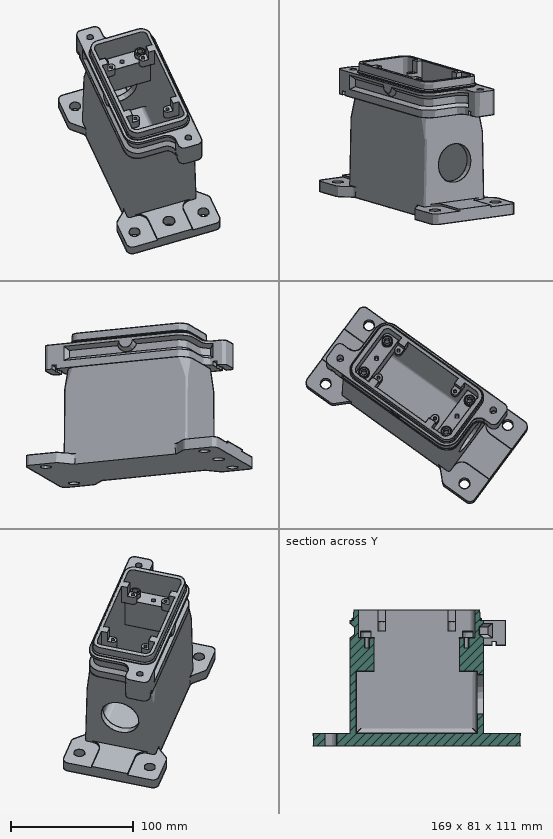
import cadquery as cq
import math

FLANGE_LENGTH = 169.0
FLANGE_WIDTH = 81.0
FLANGE_THICKNESS = 8.8
FLANGE_WAIST_WIDTH = 59.5
FLANGE_EAR_X = 56.0
FLANGE_CORNER_RADIUS = 5.0
FLANGE_WAIST_RADIUS = 6.8
PAD_HEIGHT = 1.5
PAD_WIDTH = 30.8
PAD_BLEND_RADIUS = 8.1
SCREW_X = 70.0
SCREW_Y = 29.9
SCREW_DIAMETER = 8.8
EARTH_HOLE_DIAMETER = 9.5

BODY_HALF_X = 54.6
BODY_HALF_Y_BOTTOM = 30.0
BODY_HALF_Y_TOP = 28.2
BODY_EDGE_RADIUS = 2.2
BODY_TOP_RADIUS = 10.0
CORNER_CONE_START_Z = 64.7
ENTRY_Z = 42.0
ENTRY_DIAMETER = 32.0

COLLAR_BOTTOM = 82.0
COLLAR_TOP = 102.4
COLLAR_HALF_X = 54.5
COLLAR_HALF_Y = 29.0
COLLAR_RADIUS = 12.2
LUG_END_X = 72.3
LUG_SIDE_Y = 9.0
LUG_RADIUS = 4.7
LUG_BLEND_RADIUS = 7.5
LUG_HOLE_X = 63.0
LUG_HOLE_Y = 19.5
LUG_HOLE_DIAMETER = 5.2
LUG_SLOT_WIDTH = 3.4
LUG_SLOT_HEIGHT = 3.2

GROOVE_DEPTH = 3.4
GROOVE_BOTTOM = 88.2
GROOVE_FLOOR_BOTTOM = 90.8
GROOVE_FLOOR_TOP = 97.0
GROOVE_TOP = 100.0
GROOVE_END_RUN = 4.0
GROOVE_START_X = 54.2
GROOVE_END_X = 61.5
STOP_RADIUS = 5.9
STOP_BASE_RADIUS = 8.8

RIM_TOP = 111.0
RIM_HALF_X = 51.5
RIM_HALF_Y = 26.0
RIM_RADIUS = 8.6
RIM_BEVEL_HEIGHT = 2.0
RIM_BEVEL = 0.5
BEAD_PROJECTION = 1.0
BEAD_BOTTOM = 103.3
BEAD_EDGE = 104.0
BEAD_TOP = 105.0

CAVITY_HALF_X = 47.3
CAVITY_HALF_Y = 22.6
LOWER_CAVITY_HALF_X = 49.2
CAVITY_RADIUS = 4.4
CAVITY_FLOOR = 10.5
CAVITY_FLOOR_FILLET = 4.7
WALL_OVERLAP = 1.7
LEDGE_INNER_X = 34.8
LEDGE_TOP = 88.4
LEDGE_BOTTOM = 60.8
LEDGE_HOLE_X = 40.5
LEDGE_HOLE_DIAMETER = 3.5
LEDGE_HOLE_DEPTH = 8.5
BOSS_X = 41.5
BOSS_Y = 16.0
BOSS_TOP = 93.8
BOSS_DIAMETER = 8.8
BOSS_CHAMFER = 0.8
BOSS_HOLE_DIAMETER = 4.5
BOSS_HOLE_DEPTH = 8.5
RIB_X = 28.5
RIB_WIDTH = 6.5
RIB_FACE_Y = 17.5
RIB_BOTTOM = 93.6
POST_Y = 13.9
POST_TOP = 101.4
POST_HOLE_DIAMETER = 2.5
POST_HOLE_DEPTH = 5.0

SIGNS = (-1, 1)
QUADRANTS = [(sx, sy) for sx in SIGNS for sy in SIGNS]


def half_turn(shape):
    """Copy of a shape turned 180 degrees about the vertical axis."""
    return shape.rotate((0, 0, 0), (0, 0, 1), 180)


def box(x, y, z):
    """Box from (min, max) pairs along each axis."""
    size = [b - a for a, b in (x, y, z)]
    return cq.Workplane("XY").box(*size, centered=False).translate((x[0], y[0], z[0]))


def cylinder(x, y, bottom, top, diameter):
    circle = cq.Workplane("XY").workplane(offset=bottom).center(x, y).circle(diameter / 2)
    return circle.extrude(top - bottom)


def rounded_rectangle(half_x, half_y, radius, z):
    wire = cq.Workplane("XY").workplane(offset=z).rect(2 * half_x, 2 * half_y).wire().val()
    return wire.fillet2D(radius, wire.Vertices())


def loft(lower, upper):
    return cq.Workplane(cq.Solid.makeLoft([lower, upper], True))


def prism(wire, height):
    return cq.Workplane(cq.Solid.extrudeLinear(wire, [], cq.Vector(0, 0, height)))


def round_upright_edge(plate, x, y, radius):
    """Fillet the vertical edge of a flange plate that passes through (x, y)."""
    edge = cq.selectors.NearestToPointSelector((x, y, FLANGE_THICKNESS / 2))
    return plate.edges("|Z").edges(edge).fillet(radius)


def flange():
    half_x = FLANGE_LENGTH / 2
    half_y = FLANGE_WIDTH / 2
    half_waist = FLANGE_WAIST_WIDTH / 2
    waist_x = FLANGE_EAR_X - (half_y - half_waist)
    ear_corners = [(FLANGE_EAR_X, half_y), (half_x, half_y)]
    outline = [(waist_x, half_waist)] + ear_corners
    outline += [(x, -y) for x, y in reversed(outline)]
    outline += [(-x, -y) for x, y in outline]
    plate = cq.Workplane("XY").polyline(outline).close().extrude(FLANGE_THICKNESS)
    for sx, sy in QUADRANTS:
        for x, y in ear_corners:
            plate = round_upright_edge(plate, sx * x, sy * y, FLANGE_CORNER_RADIUS)
        plate = round_upright_edge(plate, sx * waist_x, sy * half_waist, FLANGE_WAIST_RADIUS)
    return plate


def raised_pad():
    """Strip along X across the flange, flared next to the body."""
    half_width = PAD_WIDTH / 2
    z = (FLANGE_THICKNESS, FLANGE_THICKNESS + PAD_HEIGHT)
    half_x = FLANGE_LENGTH / 2
    strip = box((-half_x, half_x), (-half_width, half_width), z)
    flare_x = BODY_HALF_X + PAD_BLEND_RADIUS
    flare_y = half_width + PAD_BLEND_RADIUS
    pad = strip.union(box((-flare_x, flare_x), (-flare_y, flare_y), z))
    for sx, sy in QUADRANTS:
        pad = pad.cut(cylinder(sx * flare_x, sy * flare_y, *z, 2 * PAD_BLEND_RADIUS))
    return pad


def flange_holes():
    top = FLANGE_THICKNESS + PAD_HEIGHT
    holes = cylinder(SCREW_X, 0, 0, top, EARTH_HOLE_DIAMETER)
    for sx, sy in QUADRANTS:
        holes = holes.union(cylinder(sx * SCREW_X, sy * SCREW_Y, 0, top, SCREW_DIAMETER))
    return holes


def body():
    def half_y(z):
        return BODY_HALF_Y_BOTTOM - (BODY_HALF_Y_BOTTOM - BODY_HALF_Y_TOP) * z / COLLAR_BOTTOM

    def section(z, radius):
        return rounded_rectangle(BODY_HALF_X, half_y(z), radius, z)

    waist = section(CORNER_CONE_START_Z, BODY_EDGE_RADIUS)
    lower = loft(section(0, BODY_EDGE_RADIUS), waist)
    upper = loft(waist, section(COLLAR_BOTTOM, BODY_TOP_RADIUS))
    return lower.union(upper)


def collar_outline(inset, z):
    """Z-shaped outline of collar and lugs, moved inwards by inset."""
    side_x = COLLAR_HALF_X - inset
    side_y = COLLAR_HALF_Y - inset
    lug_x = LUG_END_X - inset
    lug_y = LUG_SIDE_Y + inset
    lug_r = LUG_RADIUS - inset
    blend_r = LUG_BLEND_RADIUS + inset
    corner_r = COLLAR_RADIUS - inset
    bulge = 1 - math.sqrt(0.5)

    def half(pen, s):
        """One half of the outline; s = 1 draws the +X side, s = -1 the -X side."""
        def at(x, y):
            return (s * x, s * y)

        pen = pen.lineTo(*at(side_x - corner_r, -side_y))
        pen = pen.threePointArc(
            at(side_x - corner_r * bulge, -side_y + corner_r * bulge), at(side_x, -side_y + corner_r)
        )
        pen = pen.lineTo(*at(side_x, lug_y - blend_r))
        pen = pen.threePointArc(
            at(side_x + blend_r * bulge, lug_y - blend_r * bulge), at(side_x + blend_r, lug_y)
        )
        pen = pen.lineTo(*at(lug_x - lug_r, lug_y))
        pen = pen.threePointArc(
            at(lug_x - lug_r * bulge, lug_y + lug_r * bulge), at(lug_x, lug_y + lug_r)
        )
        pen = pen.lineTo(*at(lug_x, side_y - lug_r))
        return pen.threePointArc(
            at(lug_x - lug_r * bulge, side_y - lug_r * bulge), at(lug_x - lug_r, side_y)
        )

    pen = cq.Workplane("XY").workplane(offset=z).moveTo(-lug_x + lug_r, -side_y)
    return half(half(pen, 1), -1).wire().val()


def latch_groove():
    """Groove on the long -Y side and the short +X side, with sloping flanks."""
    floor_height = GROOVE_FLOOR_TOP - GROOVE_FLOOR_BOTTOM
    core = prism(collar_outline(GROOVE_DEPTH, GROOVE_FLOOR_BOTTOM), floor_height)
    lower_flank = loft(
        collar_outline(0, GROOVE_BOTTOM), collar_outline(GROOVE_DEPTH, GROOVE_FLOOR_BOTTOM)
    )
    upper_flank = loft(
        collar_outline(GROOVE_DEPTH, GROOVE_FLOOR_TOP), collar_outline(0, GROOVE_TOP)
    )

    margin = 1.7
    reach = GROOVE_DEPTH + margin
    end_slope = GROOVE_END_RUN / GROOVE_DEPTH
    plan = [
        (-GROOVE_START_X - margin, -COLLAR_HALF_Y - margin),
        (GROOVE_END_X + end_slope * margin, -COLLAR_HALF_Y - margin),
        (GROOVE_END_X + end_slope * margin, LUG_SIDE_Y - margin),
        (GROOVE_END_X - end_slope * reach, LUG_SIDE_Y + reach),
        (-GROOVE_START_X + reach, -COLLAR_HALF_Y + reach),
    ]
    band = cq.Workplane("XY").workplane(offset=GROOVE_BOTTOM).polyline(plan).close()
    band = band.extrude(GROOVE_TOP - GROOVE_BOTTOM)

    stop = cq.Workplane(
        cq.Solid.makeCone(
            STOP_RADIUS, STOP_BASE_RADIUS, GROOVE_DEPTH,
            cq.Vector(0, -COLLAR_HALF_Y, GROOVE_TOP), cq.Vector(0, 1, 0),
        )
    )
    return band.cut(core).cut(lower_flank).cut(upper_flank).cut(stop)


def collar():
    block = prism(collar_outline(0, COLLAR_BOTTOM), COLLAR_TOP - COLLAR_BOTTOM)
    groove = latch_groove()
    hole = cylinder(LUG_HOLE_X, LUG_HOLE_Y, COLLAR_BOTTOM, COLLAR_TOP, LUG_HOLE_DIAMETER)
    slot = box(
        (LUG_HOLE_X - LUG_SLOT_WIDTH / 2, LUG_HOLE_X + LUG_SLOT_WIDTH / 2),
        (0, COLLAR_HALF_Y),
        (COLLAR_BOTTOM, COLLAR_BOTTOM + LUG_SLOT_HEIGHT),
    )
    for cutter in (groove, hole, slot):
        block = block.cut(cutter).cut(half_turn(cutter))
    return block


def rim():
    def section(z, growth):
        return rounded_rectangle(RIM_HALF_X + growth, RIM_HALF_Y + growth, RIM_RADIUS + growth, z)

    bevel_z = RIM_TOP - RIM_BEVEL_HEIGHT
    wall = prism(section(COLLAR_TOP, 0), bevel_z - COLLAR_TOP)
    bevel = loft(section(bevel_z, 0), section(RIM_TOP, -RIM_BEVEL))
    bead = prism(section(BEAD_BOTTOM, BEAD_PROJECTION), BEAD_EDGE - BEAD_BOTTOM)
    bead_slope = loft(section(BEAD_EDGE, BEAD_PROJECTION), section(BEAD_TOP, 0))
    return wall.union(bevel).union(bead).union(bead_slope)


def cavity():
    upper = prism(
        rounded_rectangle(CAVITY_HALF_X, CAVITY_HALF_Y, CAVITY_RADIUS, LEDGE_BOTTOM), RIM_TOP - LEDGE_BOTTOM
    )
    lower = box(
        (-LOWER_CAVITY_HALF_X, LOWER_CAVITY_HALF_X),
        (-CAVITY_HALF_Y, CAVITY_HALF_Y),
        (CAVITY_FLOOR, LEDGE_BOTTOM),
    )
    trough = lower.edges("<Z and |X").fillet(CAVITY_FLOOR_FILLET)
    lower = lower.edges("|Z").fillet(CAVITY_RADIUS)
    return upper.union(lower.intersect(trough))


def cable_entry():
    entry = cq.Workplane("YZ").workplane(offset=-BODY_HALF_X).center(0, ENTRY_Z)
    return entry.circle(ENTRY_DIAMETER / 2).extrude(BODY_HALF_X - LOWER_CAVITY_HALF_X)


def ledge(side):
    """Shelf across one end of the cavity, carrying two screw bosses."""
    x_range = sorted((side * LEDGE_INNER_X, side * (CAVITY_HALF_X + WALL_OVERLAP)))
    wall_y = CAVITY_HALF_Y + WALL_OVERLAP
    shelf = box(x_range, (-wall_y, wall_y), (LEDGE_BOTTOM, LEDGE_TOP))
    shelf = shelf.cut(
        cylinder(side * LEDGE_HOLE_X, 0, LEDGE_TOP - LEDGE_HOLE_DEPTH, LEDGE_TOP, LEDGE_HOLE_DIAMETER)
    )
    hole_floor = BOSS_TOP - BOSS_HOLE_DEPTH
    hole_radius = BOSS_HOLE_DIAMETER / 2
    for sy in SIGNS:
        x, y = side * BOSS_X, sy * BOSS_Y
        boss = cylinder(x, y, LEDGE_TOP, BOSS_TOP, BOSS_DIAMETER).faces(">Z").edges().chamfer(BOSS_CHAMFER)
        tip = cq.Solid.makeCone(
            hole_radius, 0, hole_radius, cq.Vector(x, y, hole_floor), cq.Vector(0, 0, -1)
        )
        hole = cylinder(x, y, hole_floor, BOSS_TOP, BOSS_HOLE_DIAMETER)
        shelf = shelf.union(boss).cut(hole).cut(cq.Workplane(tip))
    return shelf


def rib_with_post(sx, sy):
    """Wall rib up to the rim, with a lower round-nosed screw post in front of it."""
    x = sx * RIB_X
    x_range = (x - RIB_WIDTH / 2, x + RIB_WIDTH / 2)
    wall_y = CAVITY_HALF_Y + WALL_OVERLAP
    rib = box(x_range, sorted((sy * RIB_FACE_Y, sy * wall_y)), (RIB_BOTTOM, RIM_TOP))
    post = box(x_range, sorted((sy * POST_Y, sy * wall_y)), (RIB_BOTTOM, POST_TOP))
    post = post.union(cylinder(x, sy * POST_Y, RIB_BOTTOM, POST_TOP, RIB_WIDTH))
    hole = cylinder(x, sy * POST_Y, POST_TOP - POST_HOLE_DEPTH, POST_TOP, POST_HOLE_DIAMETER)
    return rib.union(post).cut(hole)


result = flange().union(raised_pad()).cut(flange_holes())
result = result.union(body()).union(collar()).union(rim())
result = result.cut(cavity()).cut(cable_entry())
for side in SIGNS:
    result = result.union(ledge(side))
for sx, sy in QUADRANTS:
    result = result.union(rib_with_post(sx, sy))